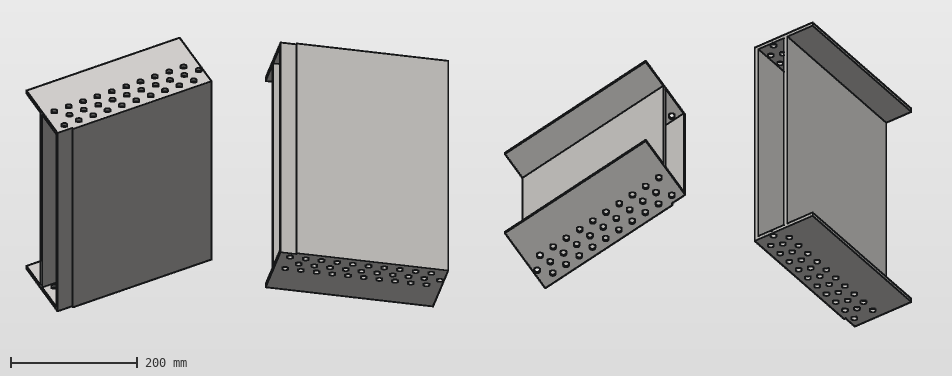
import cadquery as cq

height = 387.5
depth = 270.5
width = 112.0

flange_thickness = 6.5
web_thickness = 7.0
wall_thickness = 7.5

step_thickness = 2.7
step_length = 25.5

web_start = 48.5
chamber_start = web_start + web_thickness
chamber_width = width - wall_thickness - chamber_start

hole_diameter = 9.5
holes_per_row = 10
row_length = 228.0
hole_pitch = row_length / (holes_per_row - 1)
row_spacing = 18.0
centre_row_back_margin = 6.5
side_row_back_margin = 24.5
centre_row_x = chamber_start + chamber_width / 2


def make_frame():
    """Two flanges joined by the web and the +X wall, open at front and back."""
    inner_height = height - 2 * flange_thickness
    block = cq.Workplane("XY").box(width, depth, height, centered=False)
    channel = (
        cq.Workplane("XY")
        .box(web_start, depth, inner_height, centered=False)
        .translate((0, 0, flange_thickness))
    )
    chamber = (
        cq.Workplane("XY")
        .box(chamber_width, depth, inner_height, centered=False)
        .translate((chamber_start, 0, flange_thickness))
    )
    return block.cut(channel).cut(chamber)


def make_wall_step():
    """Full-height strip removed from the outside of the wall at its front edge."""
    return (
        cq.Workplane("XY")
        .box(step_thickness, step_length, height, centered=False)
        .translate((width - step_thickness, 0, 0))
    )


def make_hole_row(x, back_margin):
    """Drills for one row of holes, running forward from the back edge through both flanges."""
    first_y = depth - back_margin
    points = [(x, first_y - i * hole_pitch) for i in range(holes_per_row)]
    return cq.Workplane("XY").pushPoints(points).circle(hole_diameter / 2).extrude(height)


result = make_frame().cut(make_wall_step())
result = result.cut(make_hole_row(centre_row_x, centre_row_back_margin))
for side in (-1, 1):
    result = result.cut(make_hole_row(centre_row_x + side * row_spacing, side_row_back_margin))